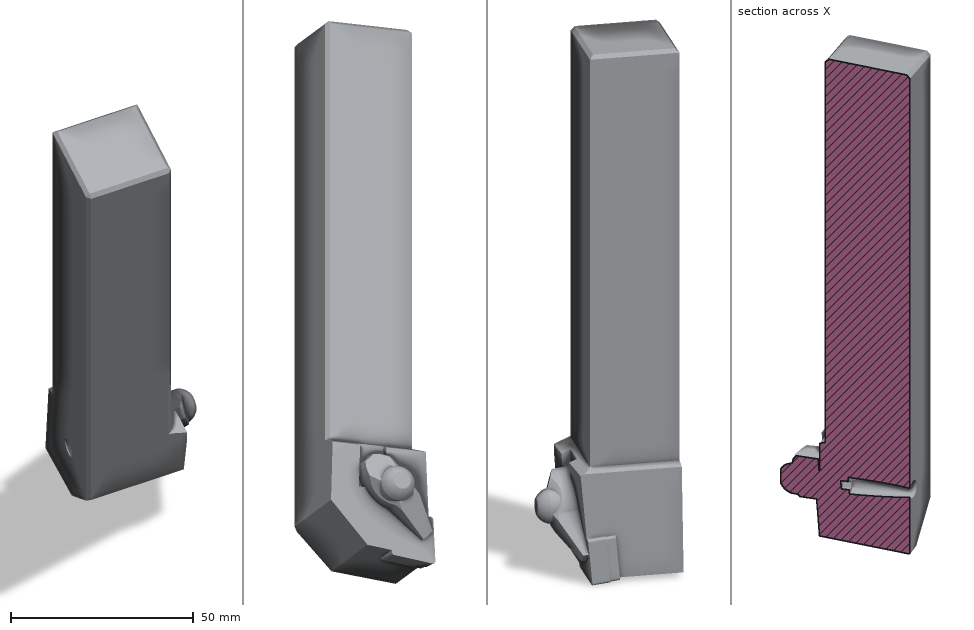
import cadquery as cq
import math

TOTAL_LENGTH = 152.4
SHANK_SIZE = 25.1
SHANK_CHAMFER = 1.0
HEAD_WIDTH = 31.7
SHANK_LEFT = HEAD_WIDTH - SHANK_SIZE

SHOULDER_Z = 32.3
SHOULDER_DROP = 0.9
SHOULDER_BACK_DROP = 1.8
SHOULDER_LEFT = 3.8
HEAD_CORNER = (1.5, 1.4)
HEEL = (20.4, 2.9)
HEAD_DEPTH = 29.5

RAKE_Y = 25.9
RAKE_SLOPE_X = 0.05
RAKE_SLOPE_Z = 0.075

NOSE_ANGLE = 80.0
LEAD_ANGLE = 5.0
INSERT_CORNER = -0.08
INSERT_EDGE = 13.1
INSERT_THICKNESS = 5.0
NOSE_RADIUS = 0.8
SEAT_THICKNESS = 2.9
SEAT_INSET = 0.2

SCREW_X = 14.6
SCREW_Z = 18.9
CLAMP_DEPTH = 1.5
CLAMP_TOP = 7.0
CLAMP_TOP_LENGTH = 7.6
CLAMP_HALF_WIDTH = 5.2
TAIL_LENGTH = 10.7
TAIL_HALF_WIDTH = 2.9
TAIL_CHAMFER = 1.2
TAIL_TOP = 3.7
NOSE_LENGTH = 16.5
NOSE_HALF_WIDTH = 1.8
NOSE_TOP = 1.5
WAIST = 3.7
WAIST_HALF_WIDTH = 4.0
BEVEL_WIDTH = 2.1
BEVEL_HEIGHT = 3.0
POCKET_LEFT = 15.5
POCKET_RIGHT = 23.5
POCKET_FLOOR_Y = 26.8

DOME_TOP_Y = 38.4
DOME_HEIGHT = 3.0
DOME_RADIUS = 4.9
DOME_FLAT_RADIUS = 2.5
DOME_BULGE_RADIUS = 4.0
DOME_BULGE_DROP = 1.2
SCREW_SINK = 3.5
HOLE_X = 18.1
HOLE_Z = 21.8
HOLE_DIAMETER = 5.2
HOLE_DEPTH = 18.3
HOLE_LEAN = 0.09
SOCKET_SIZE = 2.7
SOCKET_DEPTH = 2.3


def rake_plane(x=0.0, z=0.0, direction_x=1.0, direction_z=0.0):
    """Plane on the rake face at (x, z), normal toward +Y, local X along the given direction."""
    height = RAKE_Y + RAKE_SLOPE_X * x + RAKE_SLOPE_Z * z
    rise = RAKE_SLOPE_X * direction_x + RAKE_SLOPE_Z * direction_z
    return cq.Plane(
        origin=(x, height, z),
        xDir=(direction_x, rise, direction_z),
        normal=(-RAKE_SLOPE_X, 1, -RAKE_SLOPE_Z),
    )


def make_shank():
    height = TOTAL_LENGTH - SHOULDER_Z
    shank = (
        cq.Workplane("XY")
        .box(SHANK_SIZE, SHANK_SIZE, height, centered=False)
        .translate((SHANK_LEFT, 0, SHOULDER_Z))
    )
    return shank.edges(">Z or (|Z and >X)").chamfer(SHANK_CHAMFER)


def make_head():
    relief_rise = HEAD_WIDTH - HEEL[0]
    outline = [
        HEAD_CORNER,
        HEEL,
        (HEAD_WIDTH, HEEL[1] + relief_rise),
        (HEAD_WIDTH, SHOULDER_Z),
        (SHANK_LEFT, SHOULDER_Z),
        (SHOULDER_LEFT, SHOULDER_Z - SHOULDER_DROP),
    ]
    head = cq.Workplane("XZ").polyline(outline).close().extrude(-HEAD_DEPTH)
    above_rake = cq.Workplane(rake_plane()).rect(TOTAL_LENGTH, TOTAL_LENGTH).extrude(HEAD_DEPTH)
    shoulder_back = (
        cq.Workplane("YZ")
        .polyline(
            [
                (SHANK_SIZE, SHOULDER_Z),
                (HEAD_DEPTH, SHOULDER_Z),
                (HEAD_DEPTH, SHOULDER_Z - SHOULDER_BACK_DROP),
            ]
        )
        .close()
        .extrude(HEAD_WIDTH)
    )
    corner = (
        cq.Workplane("XY")
        .polyline(
            [
                (HEAD_WIDTH, 0),
                (HEAD_WIDTH - SHANK_CHAMFER, 0),
                (HEAD_WIDTH, SHANK_CHAMFER),
            ]
        )
        .close()
        .extrude(SHOULDER_Z)
    )
    return head.cut(above_rake).cut(shoulder_back).cut(corner)


def diamond_plate(inset, top_depth, thickness):
    """Diamond parallel to the rake plane, its top at the given depth below that plane."""
    low = math.radians(LEAD_ANGLE)
    high = math.radians(LEAD_ANGLE + NOSE_ANGLE)
    low_end = (INSERT_EDGE * math.cos(low), -INSERT_EDGE * math.sin(low))
    high_end = (INSERT_EDGE * math.cos(high), -INSERT_EDGE * math.sin(high))
    far_end = (low_end[0] + high_end[0], low_end[1] + high_end[1])
    return (
        cq.Workplane(rake_plane(INSERT_CORNER, INSERT_CORNER))
        .workplane(offset=-top_depth)
        .polyline([(0, 0), low_end, far_end, high_end])
        .close()
        .offset2D(-inset - NOSE_RADIUS)
        .offset2D(NOSE_RADIUS)
        .extrude(-thickness)
    )


def clamp_plan(frame):
    """Outline seen along the screw: chamfered tail, bulged sides and a tapered nose."""
    shoulder = TAIL_HALF_WIDTH - TAIL_CHAMFER
    return (
        cq.Workplane(frame)
        .workplane(offset=-CLAMP_DEPTH)
        .moveTo(-TAIL_LENGTH, shoulder)
        .lineTo(-TAIL_LENGTH + TAIL_CHAMFER, TAIL_HALF_WIDTH)
        .threePointArc((0, CLAMP_HALF_WIDTH), (WAIST, WAIST_HALF_WIDTH))
        .lineTo(NOSE_LENGTH, NOSE_HALF_WIDTH)
        .lineTo(NOSE_LENGTH, -NOSE_HALF_WIDTH)
        .lineTo(WAIST, -WAIST_HALF_WIDTH)
        .threePointArc((0, -CLAMP_HALF_WIDTH), (-TAIL_LENGTH + TAIL_CHAMFER, -TAIL_HALF_WIDTH))
        .lineTo(-TAIL_LENGTH, -shoulder)
        .close()
        .extrude(CLAMP_DEPTH + CLAMP_TOP)
    )


def clamp_side(frame):
    """Outline along the clamp: level at the screw, falling to the tail and to the nose."""
    side_plane = cq.Plane(origin=frame.origin, xDir=frame.xDir, normal=-frame.yDir)
    outline = [
        (-TAIL_LENGTH, -CLAMP_DEPTH),
        (-TAIL_LENGTH, TAIL_TOP),
        (-CLAMP_TOP_LENGTH / 2, CLAMP_TOP),
        (CLAMP_TOP_LENGTH / 2, CLAMP_TOP),
        (NOSE_LENGTH, NOSE_TOP),
        (NOSE_LENGTH, -CLAMP_DEPTH),
    ]
    reach = CLAMP_HALF_WIDTH + CLAMP_DEPTH
    return cq.Workplane(side_plane).polyline(outline).close().extrude(reach, both=True)


def clamp_section(frame):
    """Outline across the clamp: a wide foot with bevelled upper sides."""
    section_plane = cq.Plane(origin=frame.origin, xDir=frame.yDir, normal=frame.xDir)
    foot = CLAMP_HALF_WIDTH + CLAMP_DEPTH
    ridge = CLAMP_HALF_WIDTH - BEVEL_WIDTH
    bevel_start = CLAMP_TOP - BEVEL_HEIGHT * (foot - ridge) / BEVEL_WIDTH
    outline = [
        (-foot, -CLAMP_DEPTH),
        (foot, -CLAMP_DEPTH),
        (foot, bevel_start),
        (ridge, CLAMP_TOP),
        (-ridge, CLAMP_TOP),
        (-foot, bevel_start),
    ]
    reach = NOSE_LENGTH + CLAMP_DEPTH
    return cq.Workplane(section_plane).polyline(outline).close().extrude(reach, both=True)


def make_clamp():
    """The clamp is what its three outlines have in common."""
    frame = rake_plane(SCREW_X, SCREW_Z, -1, -1)
    return clamp_plan(frame).intersect(clamp_side(frame)).intersect(clamp_section(frame))


def make_screw_head():
    shoulder_y = DOME_TOP_Y - DOME_HEIGHT
    foot_y = shoulder_y - SCREW_SINK
    bulge = (DOME_BULGE_RADIUS, DOME_TOP_Y - DOME_BULGE_DROP)
    return (
        cq.Workplane("XY")
        .moveTo(0, foot_y)
        .lineTo(DOME_RADIUS, foot_y)
        .lineTo(DOME_RADIUS, shoulder_y)
        .threePointArc(bulge, (DOME_FLAT_RADIUS, DOME_TOP_Y))
        .lineTo(0, DOME_TOP_Y)
        .close()
        .revolve(360, (0, 0, 0), (0, 1, 0))
        .translate((SCREW_X, 0, SCREW_Z))
    )


def make_tail_pocket():
    return (
        cq.Workplane("XY")
        .box(POCKET_RIGHT - POCKET_LEFT, HEAD_DEPTH, SHOULDER_Z - SCREW_Z, centered=False)
        .translate((POCKET_LEFT, POCKET_FLOOR_Y, SCREW_Z))
    )


def make_screw_hole():
    """Hole leaning toward the screw, with a hexagon socket in its floor."""
    plane = cq.Plane(
        origin=(HOLE_X, 0, HOLE_Z), xDir=(1, HOLE_LEAN, 0), normal=(-HOLE_LEAN, 1, -HOLE_LEAN)
    )
    bore = (
        cq.Workplane(plane)
        .workplane(offset=-HOLE_DIAMETER)
        .circle(HOLE_DIAMETER / 2)
        .extrude(HOLE_DIAMETER + HOLE_DEPTH)
    )
    socket = (
        cq.Workplane(plane)
        .workplane(offset=HOLE_DEPTH)
        .polygon(6, SOCKET_SIZE)
        .extrude(SOCKET_DEPTH)
    )
    return bore.union(socket)


insert = diamond_plate(0, 0, INSERT_THICKNESS)
seat = diamond_plate(SEAT_INSET, INSERT_THICKNESS, SEAT_THICKNESS)
holder = (
    make_head()
    .cut(make_tail_pocket())
    .union(make_shank())
    .union(seat)
    .union(make_clamp())
    .union(make_screw_head())
    .cut(make_screw_hole())
    .cut(insert)
)
result = cq.Compound.makeCompound([holder.val(), insert.val()])